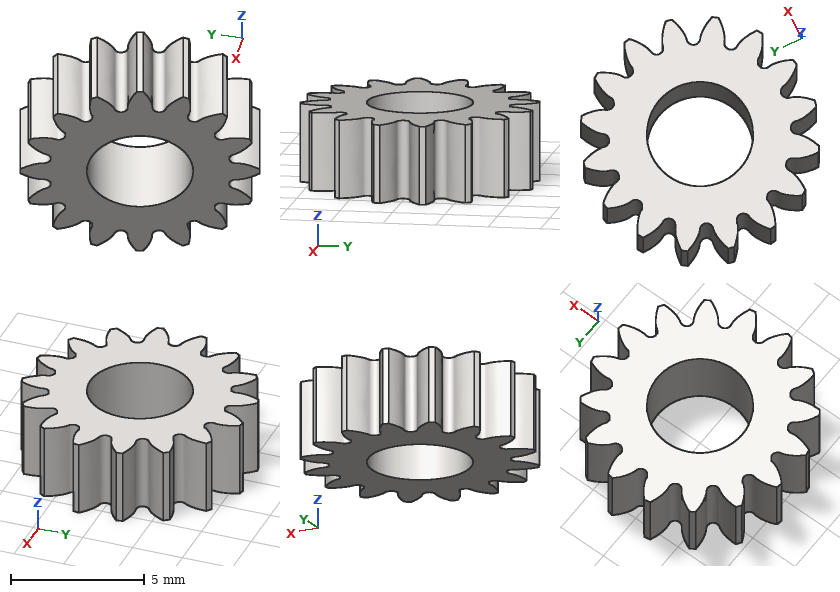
import cadquery as cq
import math

overall_width = 8.87
thickness = 3.0
bore_diameter = 3.99
tooth_count = 16
pitch_diameter = 8.0
root_diameter = 6.84
pressure_angle = math.radians(25)
flank_intervals = 8
tip_refinements = 20

pitch_radius = pitch_diameter / 2
root_radius = root_diameter / 2
base_radius = pitch_radius * math.cos(pressure_angle)
tooth_spacing = 2 * math.pi / tooth_count


def involute(angle):
    return math.tan(angle) - angle


def half_gap_angle(radius):
    """Half of the angle between two facing involute flanks at a radius."""
    flank_angle = math.acos(min(1.0, base_radius / radius))
    return tooth_spacing / 4 + involute(flank_angle) - involute(pressure_angle)


def polar(radius, angle):
    return (radius * math.cos(angle), radius * math.sin(angle))


tip_radius = overall_width / 2
for _ in range(tip_refinements):
    tip_radius = overall_width / 2 / math.cos(half_gap_angle(tip_radius))

flank_radii = [
    base_radius + (tip_radius - base_radius) * i / flank_intervals
    for i in range(flank_intervals + 1)
]


def add_gap_and_tooth(outline, gap_angle):
    """Go down one flank, round the root, up the next flank and over the tooth tip."""
    lower_flank = [polar(r, gap_angle - half_gap_angle(r)) for r in reversed(flank_radii)]
    upper_flank = [polar(r, gap_angle + half_gap_angle(r)) for r in flank_radii]
    next_gap_angle = gap_angle + tooth_spacing
    tip_middle = polar(tip_radius, gap_angle + tooth_spacing / 2)
    tip_end = polar(tip_radius, next_gap_angle - half_gap_angle(tip_radius))
    return (
        outline.spline(lower_flank[1:], includeCurrent=True)
        .threePointArc(polar(root_radius, gap_angle), upper_flank[0])
        .spline(upper_flank[1:], includeCurrent=True)
        .threePointArc(tip_middle, tip_end)
    )


outline = cq.Workplane("XY").moveTo(*polar(tip_radius, -half_gap_angle(tip_radius)))
for tooth in range(tooth_count):
    outline = add_gap_and_tooth(outline, tooth * tooth_spacing)
gear = outline.close().extrude(thickness)

result = gear.faces(">Z").workplane(origin=(0, 0, thickness)).hole(bore_diameter)